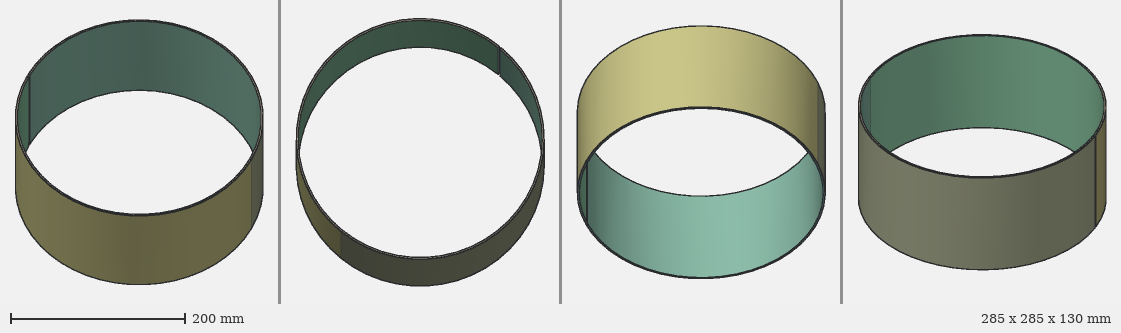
import cadquery as cq
import math

outer_diameter = 285.0
wall_thickness = 2.5
height = 130.0
outer_chamfer = 0.5
inner_chamfer = 0.2
slit_angle = 1.0

outer_radius = outer_diameter / 2
inner_radius = outer_radius - wall_thickness


def make_ring():
    """Plain thin-walled ring centred on the Z axis, standing on Z = 0."""
    return cq.Workplane("XY").circle(outer_radius).circle(inner_radius).extrude(height)


def make_slit_cutter():
    """Full-height wedge from the Z axis out past the wall, from -X toward +Y."""
    reach = outer_diameter
    spread = reach * math.tan(math.radians(slit_angle))
    corners = [(0, 0), (-reach, 0), (-reach, spread)]
    return cq.Workplane("XY").polyline(corners).close().extrude(height)


def chamfer_rims(body, radius_rank, size):
    """Chamfer the top and bottom arcs whose radius has the given rank (0 smallest, -1 largest)."""
    rims = body.edges("%CIRCLE").edges(cq.selectors.RadiusNthSelector(radius_rank))
    return rims.chamfer(size)


split_ring = make_ring().cut(make_slit_cutter())
outer_chamfered = chamfer_rims(split_ring, -1, outer_chamfer)
result = chamfer_rims(outer_chamfered, 0, inner_chamfer)